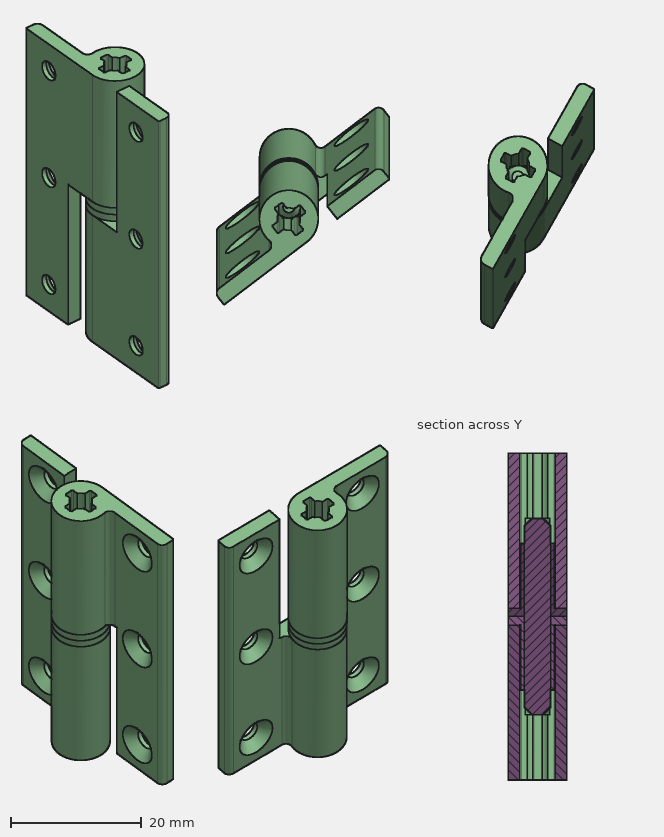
import cadquery as cq
import math

HEIGHT = 50.0
WIDTH = 32.0
HALF_WIDTH = WIDTH / 2
MID_Z = HEIGHT / 2

KNUCKLE_RADIUS = 4.5
AXIS_Y = KNUCKLE_RADIUS
PLATE_THICKNESS = 2.5
EDGE_RADIUS = 1.0
FLAT_EDGE_RADIUS = 0.15
ROOT_RADIUS = 1.0
WEB_OVERLAP = 1.0
NOTCH_EDGE_X = 5.85

SCREW_HOLE_DIAMETER = 3.2
COUNTERSINK_DEPTH = 1.65
SCREW_HOLE_X = 10.5
SCREW_HOLE_SPACING = 20.0

SOCKET_BORE_RADIUS = 1.75
SOCKET_ARM_REACH = 2.7
SOCKET_ARM_WIDTH = 1.5
SOCKET_CORNER_RADIUS = 0.2

PIN_RADIUS = 2.0
PIN_TIP_RADIUS = 0.9
PIN_TAPER = PIN_RADIUS - PIN_TIP_RADIUS
PIN_LENGTH = 30.0

FLANGE_THICKNESS = 1.25
PRONG_WIDTH = 0.85
PRONG_LENGTH = 10.0
PRONG_CORNER_RADIUS = 0.25

KNUCKLE_BASE_Z = MID_Z + FLANGE_THICKNESS
KNUCKLE_LENGTH = HEIGHT - KNUCKLE_BASE_Z


def axis_cylinder(radius, base_z, length):
    """Cylinder along the hinge axis."""
    return cq.Workplane("XY", origin=(0, AXIS_Y, base_z)).circle(radius).extrude(length)


def axis_cross(reach, arm_width, corner_radius, base_z, length):
    """Cross along the hinge axis, with rounded corners at the arm ends."""
    cross = None
    for size in ((2 * reach, arm_width), (arm_width, 2 * reach)):
        bar = cq.Workplane("XY", origin=(0, AXIS_Y, base_z)).rect(*size).extrude(length)
        bar = bar.edges("|Z").fillet(corner_radius)
        cross = bar if cross is None else cross.union(bar)
    return cross


def turned_over(body):
    """Half turn that carries an upper part to its lower counterpart."""
    return body.rotate((0, 0, MID_Z), (0, 1, MID_Z), 180)


def knuckle_and_web():
    """Knuckle with the plate stretch that joins it, blended by a concave root fillet."""
    fillet_y = PLATE_THICKNESS + ROOT_RADIUS
    center_distance = KNUCKLE_RADIUS + ROOT_RADIUS
    fillet_x = -math.sqrt(center_distance**2 - (AXIS_Y - fillet_y) ** 2)
    share = KNUCKLE_RADIUS / center_distance
    touch = (fillet_x * share, AXIS_Y + (fillet_y - AXIS_Y) * share)
    start_angle = math.atan2(AXIS_Y - fillet_y, -fillet_x)
    mid_angle = (start_angle - math.pi / 2) / 2
    fillet_middle = (
        fillet_x + ROOT_RADIUS * math.cos(mid_angle),
        fillet_y + ROOT_RADIUS * math.sin(mid_angle),
    )
    web_end_x = -(NOTCH_EDGE_X + WEB_OVERLAP)
    web = (
        cq.Workplane("XY", origin=(0, 0, KNUCKLE_BASE_Z))
        .moveTo(web_end_x, 0)
        .lineTo(0, 0)
        .lineTo(0, AXIS_Y)
        .lineTo(*touch)
        .threePointArc(fillet_middle, (fillet_x, PLATE_THICKNESS))
        .lineTo(web_end_x, PLATE_THICKNESS)
        .close()
        .extrude(KNUCKLE_LENGTH)
    )
    return axis_cylinder(KNUCKLE_RADIUS, KNUCKLE_BASE_Z, KNUCKLE_LENGTH).union(web)


def plate():
    """Full-height flat of the leaf with rounded outer edges."""
    blank = (
        cq.Workplane("XY")
        .box(HALF_WIDTH - NOTCH_EDGE_X, PLATE_THICKNESS, HEIGHT, centered=False)
        .translate((-HALF_WIDTH, 0, 0))
    )
    blank = blank.edges("<X and >Y").fillet(EDGE_RADIUS)
    return blank.edges("<X and <Y").fillet(FLAT_EDGE_RADIUS)


def screw_holes():
    """Cutters for the row of countersunk screw holes through the plate."""
    hole_radius = SCREW_HOLE_DIAMETER / 2
    hole_profile = [
        (0, 0),
        (hole_radius, 0),
        (hole_radius, PLATE_THICKNESS - COUNTERSINK_DEPTH),
        (hole_radius + COUNTERSINK_DEPTH, PLATE_THICKNESS),
        (0, PLATE_THICKNESS),
    ]
    hole = cq.Workplane("XY").polyline(hole_profile).close().revolve(360, (0, 0), (0, 1))
    holes = cq.Workplane("XY")
    for step in (-1, 0, 1):
        holes = holes.add(hole.translate((-SCREW_HOLE_X, 0, MID_Z + step * SCREW_HOLE_SPACING)))
    return holes.combine()


def socket():
    """Cutter for the cross socket, widened at its base to take the pin."""
    cross = axis_cross(
        SOCKET_ARM_REACH, SOCKET_ARM_WIDTH, SOCKET_CORNER_RADIUS, KNUCKLE_BASE_Z, KNUCKLE_LENGTH
    )
    bore = axis_cylinder(SOCKET_BORE_RADIUS, KNUCKLE_BASE_Z, KNUCKLE_LENGTH)
    pin_seat = axis_cylinder(PIN_RADIUS, KNUCKLE_BASE_Z, PIN_LENGTH / 2 - FLANGE_THICKNESS)
    return cross.union(bore).union(pin_seat)


def make_leaf():
    """Upper leaf, with its plate on the -X side."""
    return plate().union(knuckle_and_web()).cut(screw_holes()).cut(socket())


def make_bushing():
    """Upper bushing, resting on the middle plane of the hinge."""
    flange = axis_cylinder(KNUCKLE_RADIUS, MID_Z, FLANGE_THICKNESS)
    prongs = axis_cross(
        SOCKET_ARM_REACH, PRONG_WIDTH, PRONG_CORNER_RADIUS, MID_Z, FLANGE_THICKNESS + PRONG_LENGTH
    )
    return flange.union(prongs).cut(axis_cylinder(PIN_RADIUS, MID_Z, PIN_LENGTH / 2))


def make_pin():
    """Pin through both bushings, tapered at both ends."""
    rod = axis_cylinder(PIN_RADIUS, MID_Z - PIN_LENGTH / 2, PIN_LENGTH)
    return rod.faces("<Z or >Z").chamfer(PIN_TAPER)


upper_leaf = make_leaf()
upper_bushing = make_bushing()
leaves = [upper_leaf, turned_over(upper_leaf)]
bushings = [upper_bushing, turned_over(upper_bushing)]
pin = make_pin()

result = cq.Compound.makeCompound([body.val() for body in (*leaves, *bushings, pin)])